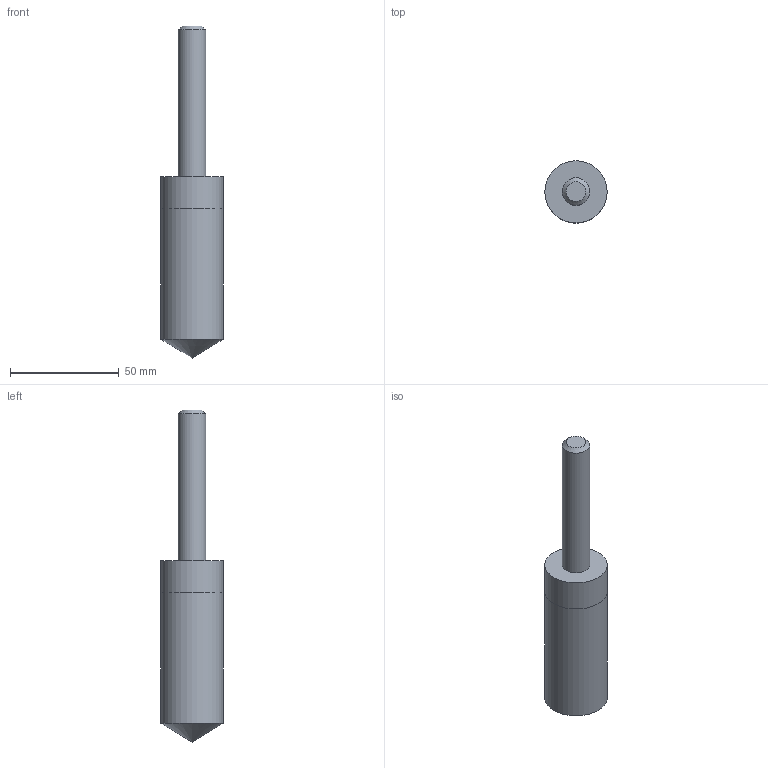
import cadquery as cq
import math

overall_length = 152.4
head_diameter = 28.575
head_radius = head_diameter / 2

point_angle = 118.0
point_height = head_radius / math.tan(math.radians(point_angle / 2))
barrel_length = 60.0
barrel_top = point_height + barrel_length

collar_length = 14.7
collar_top = barrel_top + collar_length
shank_diameter = 12.7
shank_length = overall_length - collar_top
chamfer_size = 1.8


def make_pointed_body():
    """Revolve the cone and barrel about Z."""
    return (
        cq.Workplane("XZ")
        .moveTo(0, 0)
        .lineTo(head_radius, point_height)
        .lineTo(head_radius, barrel_top)
        .lineTo(0, barrel_top)
        .close()
        .revolve(360, (0, 0, 0), (0, 1, 0))
    )


def make_holder():
    """Stack the shank on the collar and chamfer the free end of the shank."""
    collar = cq.Workplane("XY", origin=(0, 0, barrel_top)).circle(head_radius).extrude(collar_length)
    holder = collar.faces(">Z").workplane().circle(shank_diameter / 2).extrude(shank_length)
    return holder.faces(">Z").edges().chamfer(chamfer_size)


pointed_body = make_pointed_body()
holder = make_holder()

result = cq.Compound.makeCompound([pointed_body.val(), holder.val()])